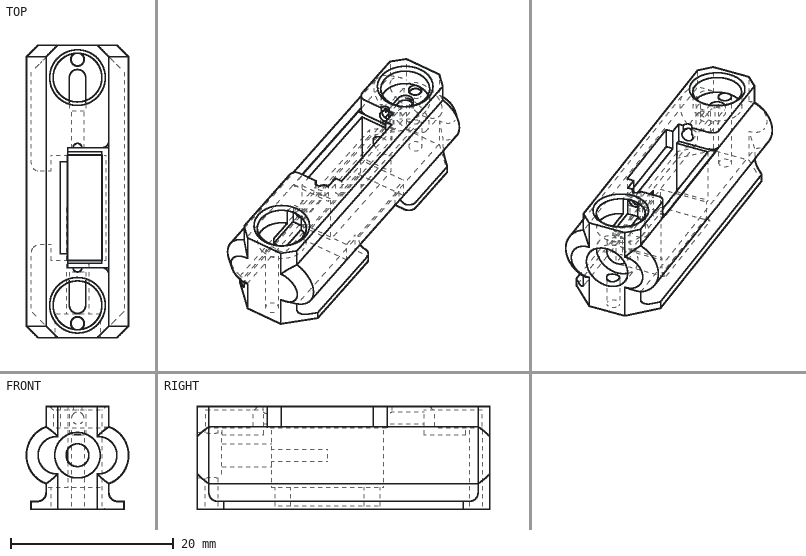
import cadquery as cq
import math

length = 36.0
overall_width = 12.6
top_z = 6.0
bottom_z = -6.67
half_length = length / 2

body_half_width = 3.87
foot_half_width = 5.72
foot_height = 1.0
foot_fillet = 1.05
end_chamfer = 1.45

barrel_radius = 3.75
barrel_offset = overall_width / 2 - barrel_radius
barrel_seam_z = math.sqrt(barrel_radius**2 - (body_half_width - barrel_offset) ** 2)

seat_y = 14.0
seat_diameter = 6.0
seat_floor_z = 3.35
seat_chamfer = 0.42
channel_width = 2.0
channel_floor_z = 2.5
channel_roof_z = top_z - seat_chamfer
channel_end_y = 9.9
wire_hole_diameter = 1.5
wire_hole_z = 4.6

bore_diameter = 5.6
bore_depth = 2.95
passage_diameter = 2.8
vent_diameter = 1.6
vent_y = 16.24

window_y = -2.0
window_left_x = -1.2
window_right_x = 3.0
ledge_z = 3.4
ledge_half_length = 7.36
ledge_corner_radius = 0.9
cavity_half_length = 6.86
opening_half_length = 6.47
relief_x = -2.1
relief_half_length = 5.68
groove_radius = 0.55

recess_left_x = -3.3
recess_roof_z = -3.93
recess_chamfer = 0.45
notch_half_length = 4.52
notch_corner_radius = 1.0


def box(x_min, x_max, y_min, y_max, z_min, z_max):
    """Axis-aligned box given by its limits."""
    size = (x_max - x_min, y_max - y_min, z_max - z_min)
    return cq.Workplane("XY").box(*size, centered=False).translate((x_min, y_min, z_min))


def window_box(x_min, x_max, half_span, z_min, z_max):
    """Box centred along Y on the window."""
    return box(x_min, x_max, window_y - half_span, window_y + half_span, z_min, z_max)


def vertical_cylinder(diameter, y, z_min, z_max):
    return cq.Workplane("XY", origin=(0, y, z_min)).circle(diameter / 2).extrude(z_max - z_min)


def make_block():
    """Extruded block with filleted foot flanges and bevelled vertical end corners."""
    foot_top_z = bottom_z + foot_height
    fillet_top_z = foot_top_z + foot_fillet
    fillet_outer_x = body_half_width + foot_fillet
    reach = foot_fillet * (1 - math.sqrt(0.5))
    profile = (
        cq.Workplane("XZ", origin=(0, half_length, 0))
        .moveTo(0, bottom_z)
        .lineTo(foot_half_width, bottom_z)
        .lineTo(foot_half_width, foot_top_z)
        .lineTo(fillet_outer_x, foot_top_z)
        .threePointArc((body_half_width + reach, foot_top_z + reach), (body_half_width, fillet_top_z))
        .lineTo(body_half_width, top_z)
        .lineTo(0, top_z)
        .close()
    )
    half = profile.extrude(length)
    block = half.union(half.mirror("YZ"))
    foot_bevel = foot_half_width - body_half_width + end_chamfer
    plan = (
        cq.Workplane("XY", origin=(0, 0, bottom_z))
        .rect(2 * foot_half_width, length)
        .extrude(top_z - bottom_z)
        .edges("|Z")
        .chamfer(foot_bevel)
    )
    return block.intersect(plan)


def make_barrel(side):
    """Cylinder along Y with chamfered ends, on the +X or -X side."""
    return (
        cq.Workplane("XZ", origin=(side * barrel_offset, half_length, 0))
        .circle(barrel_radius)
        .extrude(length)
        .edges("%CIRCLE")
        .chamfer(end_chamfer)
    )


def y_cylinder(diameter, z, y_min, y_max):
    """Cylinder along Y, centred on X = 0."""
    return cq.Workplane("XZ", origin=(0, y_max, z)).circle(diameter / 2).extrude(y_max - y_min)


def seat_cut(end):
    """Chamfered round seat with the small vertical hole through its floor."""
    y = end * seat_y
    seat = vertical_cylinder(seat_diameter, y, seat_floor_z, top_z)
    rim = (
        cq.Workplane("XY", origin=(0, y, top_z))
        .circle(seat_diameter / 2 + seat_chamfer)
        .workplane(offset=-seat_chamfer)
        .circle(seat_diameter / 2)
        .loft()
    )
    vent = vertical_cylinder(vent_diameter, end * vent_y, bottom_z, seat_floor_z)
    return seat.union(rim).union(vent)


def channel_cut(end):
    """Round-ended wire channel in the seat floor and wall, with a hole on to the window."""
    y_near, y_far = sorted((end * channel_end_y, end * seat_y))
    half_width = channel_width / 2
    channel = box(-half_width, half_width, y_near, y_far, channel_floor_z, channel_roof_z)
    tip = vertical_cylinder(channel_width, end * seat_y, channel_floor_z, seat_floor_z)
    window_wall_y = window_y + end * ledge_half_length
    y_near, y_far = sorted((end * channel_end_y, window_wall_y))
    wire_hole = y_cylinder(wire_hole_diameter, wire_hole_z, y_near, y_far)
    return channel.union(tip).union(wire_hole)


def bore_cut():
    """Stepped bore from the -Y end face into the window."""
    bore = y_cylinder(bore_diameter, 0, -half_length, -half_length + bore_depth)
    passage = y_cylinder(passage_diameter, 0, -half_length, window_y)
    return bore.union(passage)


def ledge_corner_cut(end):
    """Rounds the corner where the block side meets an end wall of the window, above the barrel."""
    wall_y = window_y + end * ledge_half_length
    arc_y = wall_y + end * ledge_corner_radius
    y_min, y_max = sorted((wall_y, arc_y))
    x_near = body_half_width - ledge_corner_radius
    corner = box(x_near, body_half_width, y_min, y_max, barrel_seam_z, top_z)
    rounding = (
        cq.Workplane("XY", origin=(x_near, arc_y, barrel_seam_z))
        .circle(ledge_corner_radius)
        .extrude(top_z - barrel_seam_z)
    )
    return corner.cut(rounding)


def window_cut():
    """Stepped window: upper ledge open towards +X, then the cavity below it."""
    cut = window_box(window_left_x, body_half_width, ledge_half_length, ledge_z, top_z)
    cut = cut.union(window_box(window_left_x, window_right_x, cavity_half_length, recess_roof_z, ledge_z))
    cut = cut.union(window_box(relief_x, window_left_x, relief_half_length, ledge_z, top_z))
    for end in (-1, 1):
        wall_y = window_y + end * ledge_half_length
        cut = cut.union(vertical_cylinder(2 * groove_radius, wall_y, wire_hole_z, top_z))
        cut = cut.union(ledge_corner_cut(end))
    return cut


def recess_cut():
    """Underside recess with a chamfered +X edge."""
    recess = window_box(recess_left_x, window_right_x, opening_half_length, bottom_z, recess_roof_z)
    bevel = (
        cq.Workplane("XZ", origin=(0, window_y + opening_half_length, 0))
        .moveTo(window_right_x, bottom_z)
        .lineTo(window_right_x + recess_chamfer, bottom_z)
        .lineTo(window_right_x, bottom_z + recess_chamfer)
        .close()
        .extrude(2 * opening_half_length)
    )
    return recess.union(bevel)


def notch_cut():
    """Side notch through the -X foot, with rounded outer corners."""
    notch = window_box(-foot_half_width, recess_left_x, notch_half_length, bottom_z, recess_roof_z)
    flare_x = -foot_half_width + notch_corner_radius
    flare_half_length = notch_half_length + notch_corner_radius
    flare = window_box(-foot_half_width, flare_x, flare_half_length, bottom_z, bottom_z + foot_height)
    for end in (-1, 1):
        rounding = (
            cq.Workplane("XY", origin=(flare_x, window_y + end * flare_half_length, bottom_z))
            .circle(notch_corner_radius)
            .extrude(foot_height)
        )
        flare = flare.cut(rounding)
    return notch.union(flare)


result = make_block()
for side in (-1, 1):
    result = result.union(make_barrel(side))
for end in (-1, 1):
    result = result.cut(seat_cut(end)).cut(channel_cut(end))
result = result.cut(bore_cut()).cut(window_cut()).cut(recess_cut()).cut(notch_cut())